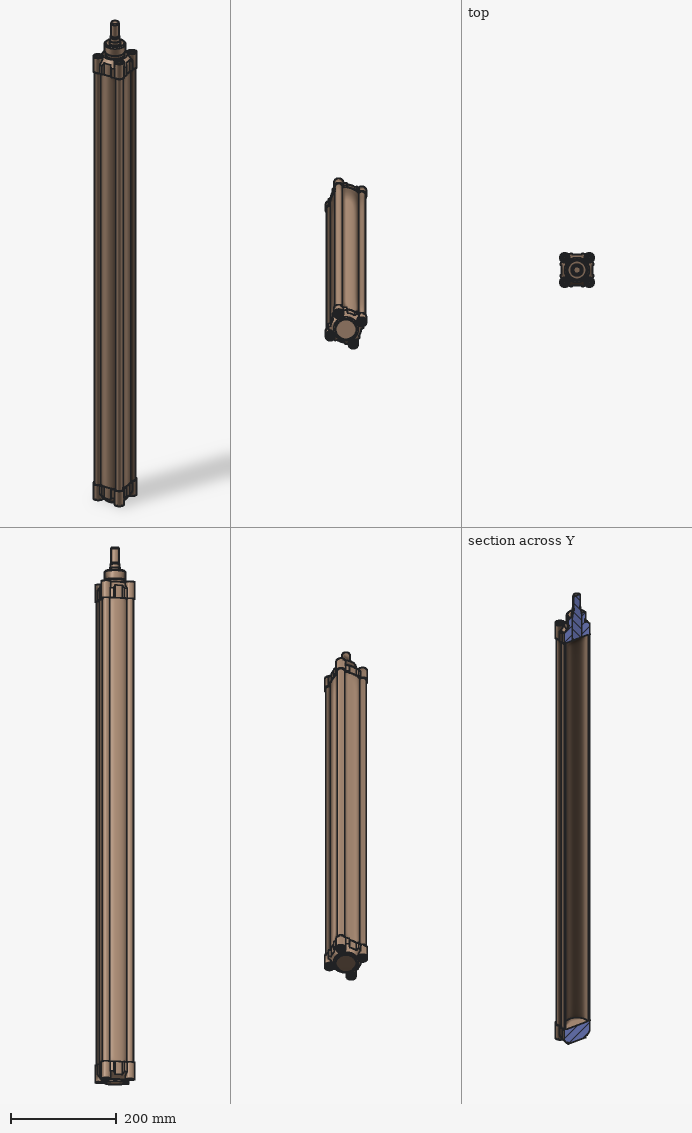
import cadquery as cq

stroke = 850.0
length_without_stroke = 106.0
body_length = stroke + length_without_stroke
head_height = 32.5
rear_collar_height = 4.0
rear_face = rear_collar_height
front_face = rear_face + body_length

barrel_diameter = 60.0
bore_diameter = 50.0
corner_pitch = 46.5
lobe_diameter = 14.4

head_size = 65.0
post_diameter = head_size - corner_pitch
core_diameter = 67.0
core_face_diameter = 47.0
core_bevel_height = 13.5
channel_floor_width = 12.0
channel_floor_diameter = 58.5
channel_depth = 6.0
screw_hole_steps = [(13.5, 1.0), (8.3, 6.0), (4.8, 16.0)]

collar_diameter = 40.0
front_collar_top_chamfer = 2.5
collar_chamfer = 1.5
rear_collar_chamfer = 0.5
neck_diameter = 37.5
neck_height = 5.5
front_collar_height = 24.4
seal_recess_diameter = 22.0
seal_recess_depth = 1.0

rod_diameter = 20.0
rod_shoulder_height = 37.0
rod_step_diameter = 18.0
rod_step_length = 7.0
thread_diameter = 16.0
thread_length = 32.0
undercut_diameter = 13.5
undercut_length = 3.0
rod_end_diameter = 13.3
rod_end_chamfer_length = 3.0


def disc(diameter, start, height):
    return cq.Workplane("XY").workplane(offset=start).circle(diameter / 2).extrude(height)


def tapered_disc(diameter, top_diameter, taper_height, start, height):
    """Disc whose upper end narrows to top_diameter over taper_height."""
    top = start + height
    return (
        cq.Workplane("XZ")
        .moveTo(0, start)
        .lineTo(diameter / 2, start)
        .lineTo(diameter / 2, top - taper_height)
        .lineTo(top_diameter / 2, top)
        .lineTo(0, top)
        .close()
        .revolve(360, (0, 0), (0, 1))
    )


def corner_cylinders(diameter, start, height):
    return (
        cq.Workplane("XY")
        .workplane(offset=start)
        .rect(corner_pitch, corner_pitch, forConstruction=True)
        .vertices()
        .circle(diameter / 2)
        .extrude(height)
    )


def make_channel():
    """Channel with 45 degree walls that is open towards +X."""
    half_floor = channel_floor_width / 2
    half_mouth = half_floor + channel_depth
    mouth_reach = core_diameter / 2
    floor_reach = mouth_reach - channel_depth
    return (
        cq.Workplane("XY")
        .moveTo(floor_reach, -half_floor)
        .lineTo(mouth_reach, -half_mouth)
        .lineTo(mouth_reach, half_mouth)
        .lineTo(floor_reach, half_floor)
        .close()
        .extrude(head_height)
    )


def make_head():
    """Head with its outer face at Z = head_height and its barrel side at Z = 0."""
    core = disc(core_diameter, 0, head_height)
    for side in range(4):
        core = core.cut(make_channel().rotate((0, 0, 0), (0, 0, 1), 90 * side))
    core = core.union(disc(channel_floor_diameter, 0, head_height))
    core = core.intersect(tapered_disc(core_diameter, core_face_diameter, core_bevel_height, 0, head_height))
    core = core.intersect(cq.Workplane("XY").rect(head_size, head_size).extrude(head_height))
    head = core.union(corner_cylinders(post_diameter, 0, head_height))
    for diameter, depth in screw_hole_steps:
        head = head.cut(corner_cylinders(diameter, head_height - depth, depth))
    return head


def make_barrel():
    start = rear_face + head_height
    length = body_length - 2 * head_height
    barrel = disc(barrel_diameter, start, length).union(corner_cylinders(lobe_diameter, start, length))
    return barrel.cut(disc(bore_diameter, start, length))


def make_front_collar():
    neck = disc(neck_diameter, front_face, neck_height)
    collar = disc(collar_diameter, front_face + neck_height, front_collar_height - neck_height)
    collar = collar.faces(">Z").chamfer(front_collar_top_chamfer)
    collar = collar.faces("<Z").chamfer(collar_chamfer)
    return neck.union(collar)


def make_housing():
    front_head = make_head().translate((0, 0, front_face - head_height))
    rear_head = make_head().rotate((0, 0, 0), (1, 0, 0), 180).translate((0, 0, rear_face + head_height))
    rear_collar = disc(collar_diameter, 0, rear_collar_height).faces("<Z").chamfer(rear_collar_chamfer)
    housing = make_barrel()
    for piece in (front_head, rear_head, rear_collar, make_front_collar()):
        housing = housing.union(piece)
    collar_top = front_face + front_collar_height
    housing = housing.cut(disc(seal_recess_diameter, collar_top - seal_recess_depth, seal_recess_depth))
    return housing.cut(disc(rod_diameter, front_face - head_height, head_height + front_collar_height))


def make_piston_rod():
    start = front_face - head_height
    shoulder = front_face + rod_shoulder_height
    step_start = shoulder - rod_step_length
    rod = disc(rod_diameter, start, step_start - start)
    step = disc(rod_step_diameter, step_start, rod_step_length)
    undercut = disc(undercut_diameter, shoulder, undercut_length)
    thread = tapered_disc(
        thread_diameter,
        rod_end_diameter,
        rod_end_chamfer_length,
        shoulder + undercut_length,
        thread_length - undercut_length,
    )
    return rod.union(step).union(undercut).union(thread)


housing = make_housing()
piston_rod = make_piston_rod()
result = cq.Compound.makeCompound([housing.val(), piston_rod.val()])